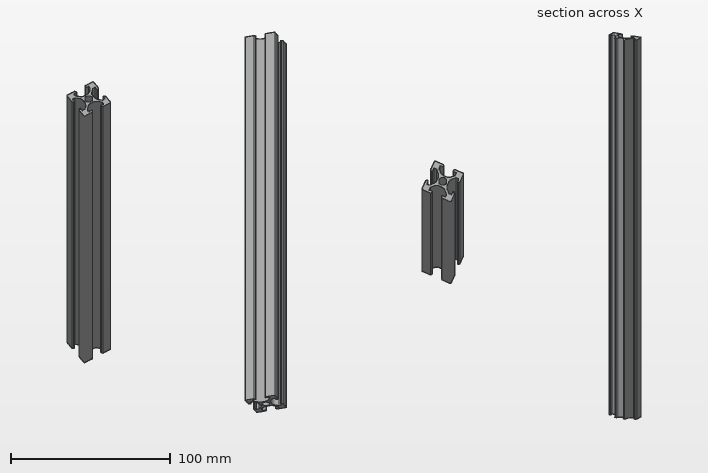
import cadquery as cq
import math

length = 250.0
side = 20.0
corner_radius = 0.5

slot_opening = 6.5
slot_inner_width = 11.0
lip_thickness = 1.5
lip_chamfer = 0.8
bore_diameter = 5.0
bore_wall = 1.12
floor_distance = bore_diameter / 2 + bore_wall
floor_flat = 2.0
arm_offset = 1.12

arm_angle = math.radians(45)
floor_corner = floor_distance - arm_offset
tangent_length = floor_corner - floor_flat / 2
floor_radius = tangent_length / math.tan(arm_angle / 2)


def arc_point(angle):
    """Point of the floor arc at the given angle from the floor's normal."""
    return (
        floor_flat / 2 + floor_radius * math.sin(angle),
        floor_distance + floor_radius * (1 - math.cos(angle)),
    )


def mirror(point):
    """Reflect a point across the centre plane of the slot."""
    return (-point[0], point[1])


def slot():
    """Slot opening towards +Y, running the whole length of the bar."""
    face = side / 2
    lip_underside = face - lip_thickness
    opening = slot_opening / 2
    inner = slot_inner_width / 2
    half = [
        (opening + lip_chamfer, face),
        (opening, face - lip_chamfer),
        (opening, lip_underside),
        (inner, lip_underside),
        (inner, inner + arm_offset),
        arc_point(arm_angle),
    ]
    flat_end = arc_point(0)
    arc_middle = arc_point(arm_angle / 2)
    mirrored = [mirror(point) for point in reversed(half)]
    return (
        cq.Workplane("XY")
        .polyline(half)
        .threePointArc(arc_middle, flat_end)
        .lineTo(*mirror(flat_end))
        .threePointArc(mirror(arc_middle), mirrored[0])
        .polyline(mirrored[1:], includeCurrent=True)
        .close()
        .extrude(length)
    )


quarter_turn = 90
result = cq.Workplane("XY").rect(side, side).extrude(length).edges("|Z").fillet(corner_radius)
for quarter in range(4):
    result = result.cut(slot().rotate((0, 0, 0), (0, 0, 1), quarter_turn * quarter))
result = result.faces(">Z").workplane(origin=(0, 0, 0)).hole(bore_diameter)